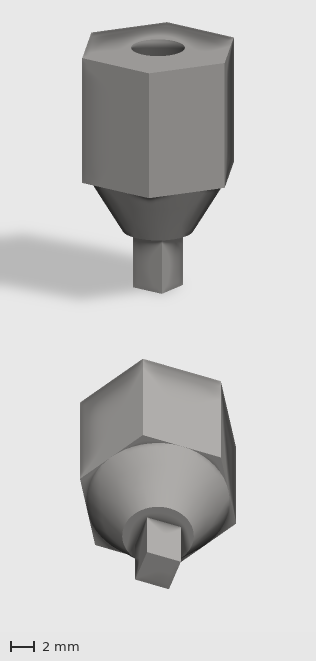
import cadquery as cq
import math

hex_across_flats = 12.0
hex_height = 11.0
cone_height = 5.0
cone_tip_diameter = 6.0
shank_width = 3.0
shank_length = 5.0
hole_diameter = 4.5
hole_floor_diameter = 3.75
hole_straight_depth = hex_height

cone_base_z = shank_length
hex_base_z = cone_base_z + cone_height
top_z = hex_base_z + hex_height
hex_across_corners = hex_across_flats / math.cos(math.pi / 6)

cone_height_per_diameter = cone_height / (hex_across_flats - cone_tip_diameter)
hole_taper_depth = (hole_diameter - hole_floor_diameter) * cone_height_per_diameter


def frustum(bottom_z, bottom_diameter, height, top_diameter):
    """Round frustum about the Z axis."""
    return cq.Workplane(
        cq.Solid.makeCone(bottom_diameter / 2, top_diameter / 2, height, cq.Vector(0, 0, bottom_z))
    )


def square_shank():
    """Square shank with its sides along X and Y."""
    return cq.Workplane("XY").rect(shank_width, shank_width).extrude(shank_length)


def hex_head():
    """Hexagonal head with two corners on the X axis."""
    return cq.Workplane("XY").workplane(offset=hex_base_z).polygon(6, hex_across_corners).extrude(hex_height)


def blind_hole():
    """Straight bore in the top face, ending in a short taper to a flat floor."""
    taper_top_z = top_z - hole_straight_depth
    bore = (
        cq.Workplane("XY").workplane(offset=taper_top_z).circle(hole_diameter / 2).extrude(hole_straight_depth)
    )
    taper = frustum(taper_top_z - hole_taper_depth, hole_floor_diameter, hole_taper_depth, hole_diameter)
    return bore.union(taper)


cone = frustum(cone_base_z, cone_tip_diameter, cone_height, hex_across_flats)

result = square_shank().union(cone).union(hex_head()).cut(blind_hole())